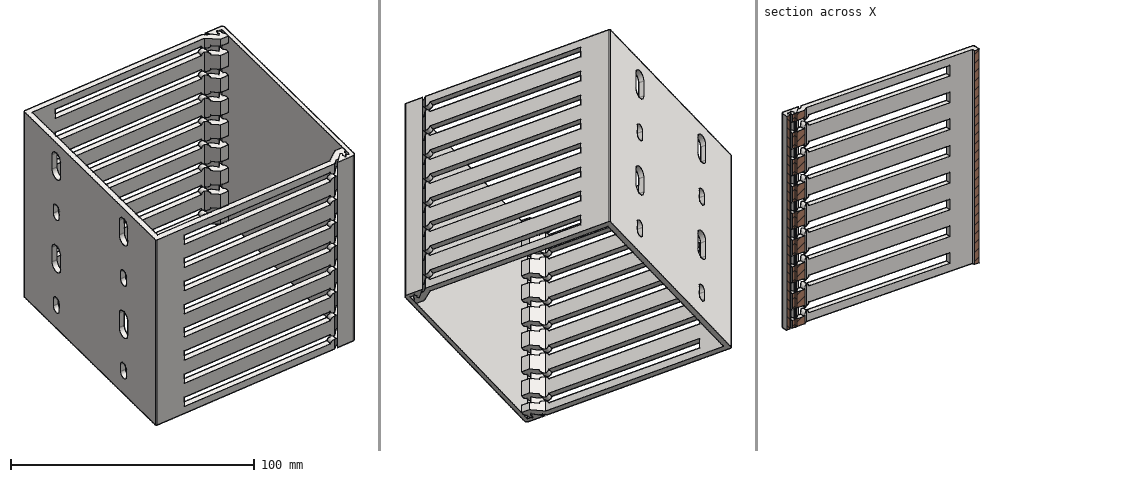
import cadquery as cq

WIDTH = 98.5
DEPTH = 98.4
LENGTH = 100.0

half_width = WIDTH / 2
half_depth = DEPTH / 2
left_x = -half_width
cover_top_y = half_depth
base_bottom_y = -half_depth

SIDE_WALL = 2.6
FLOOR_WALL = 2.5
BASE_CORNER_CHAMFER = 0.4

COVER_WALL = 1.9
COVER_CORNER_RADIUS = 1.3
LIP_DEPTH = 9.0

HOOK_WIDTH = 6.8
HOOK_STRAIGHT_DEPTH = 5.7
HOOK_DEPTH = 11.0
SHOULDER_DEPTH = 10.3
BARB_TIP = 4.2
BARB_CREST = (3.5, 4.2)
BARB_VALLEY = (2.8, 4.6)
NOTCH_INSET = 1.4
NOTCH_LOW_DEPTH = 4.2
NOTCH_HIGH_DEPTH = 3.9
NOTCH_MOUTH_DEPTH = 3.7
HOOK_TOP_LEDGE = ((2.9, 2.8), (4.0, 2.8))
HOOK_TOP_START = 4.9
CLEARANCE_CORNER = (1.4, 8.8)
CONTACT_START = 1.8

SLOT_COUNT = 8
SLOT_HEIGHT = 4.9
SLOT_FLOOR_DISTANCE = 14.0
NECK_HEIGHT = 2.0
NECK_DEPTH = 10.6
NECK_LENGTH = 3.6
slot_pitch = LENGTH / SLOT_COUNT

HOLE_COLUMN_SPACING = 50.0
HOLE_ROW_SPACING = 50.0
LARGE_HOLE_LENGTH = 14.0
LARGE_HOLE_WIDTH = 6.2
SMALL_HOLE_LENGTH = 8.0
SMALL_HOLE_WIDTH = 4.2
LARGE_ROW_CENTRE_Z = 12.5
SMALL_ROW_CENTRE_Z = -12.5


def corner_point(inset, depth):
    """Point at a distance inside the left face and a depth below the cover top."""
    return (left_x + inset, cover_top_y - depth)


def symmetric_extrusion(left_points):
    """Mirror a left half outline about the YZ plane, close it and extrude it along Z."""
    right_points = [(-x, y) for x, y in reversed(left_points)]
    outline = cq.Workplane("XY").polyline(left_points + right_points).close()
    return outline.extrude(LENGTH / 2, both=True)


latch_points = [
    corner_point(BARB_TIP, LIP_DEPTH - BARB_TIP),
    corner_point(*BARB_CREST),
    corner_point(*BARB_VALLEY),
    corner_point(NOTCH_INSET, NOTCH_LOW_DEPTH),
    corner_point(NOTCH_INSET, NOTCH_HIGH_DEPTH),
    corner_point(COVER_WALL, NOTCH_MOUTH_DEPTH),
]


def make_cover():
    left_points = [
        corner_point(0, 0),
        corner_point(0, LIP_DEPTH),
        *latch_points,
        corner_point(COVER_WALL, COVER_WALL),
    ]
    cover = symmetric_extrusion(left_points)
    outer_corners = cq.selectors.BoxSelector(
        (-WIDTH, cover_top_y - COVER_WALL / 2, -LENGTH),
        (WIDTH, cover_top_y + COVER_WALL / 2, LENGTH),
    )
    return cover.edges("|Z").edges(outer_corners).fillet(COVER_CORNER_RADIUS)


def make_channel_walls():
    left_points = [
        (left_x + BASE_CORNER_CHAMFER, base_bottom_y),
        (left_x, base_bottom_y + BASE_CORNER_CHAMFER),
        corner_point(0, SHOULDER_DEPTH),
        corner_point(*CLEARANCE_CORNER),
        corner_point(CONTACT_START, LIP_DEPTH - CONTACT_START),
        *latch_points,
        *[corner_point(*point) for point in HOOK_TOP_LEDGE],
        corner_point(HOOK_TOP_START, COVER_WALL),
        corner_point(HOOK_WIDTH, COVER_WALL),
        corner_point(HOOK_WIDTH, HOOK_STRAIGHT_DEPTH),
        corner_point(SIDE_WALL, HOOK_DEPTH),
        (left_x + SIDE_WALL, base_bottom_y + FLOOR_WALL),
    ]
    return symmetric_extrusion(left_points)


def wiring_slot(centre_z):
    """Slot through both side walls, open at the top, with a rounded neck below the hook."""
    slot_end_y = base_bottom_y + SLOT_FLOOR_DISTANCE
    neck_y = cover_top_y - NECK_DEPTH
    neck_start_y = neck_y - NECK_LENGTH / 2
    neck_end_y = neck_y + NECK_LENGTH / 2
    half_height = SLOT_HEIGHT / 2
    half_neck = NECK_HEIGHT / 2
    outline = (
        cq.Workplane("YZ")
        .moveTo(slot_end_y, half_height)
        .lineTo(neck_start_y, half_height)
        .threePointArc((neck_y, half_neck), (neck_end_y, half_height))
        .lineTo(cover_top_y, half_height)
        .lineTo(cover_top_y, -half_height)
        .lineTo(neck_end_y, -half_height)
        .threePointArc((neck_y, -half_neck), (neck_start_y, -half_height))
        .lineTo(slot_end_y, -half_height)
        .close()
    )
    return outline.extrude(half_width, both=True).translate((0, 0, centre_z))


def mounting_holes(row_centre_z, hole_length, hole_width):
    """Two rows and two columns of holes elongated along Z, through the floor."""
    return (
        cq.Workplane("XZ", origin=(0, base_bottom_y, row_centre_z))
        .rarray(HOLE_COLUMN_SPACING, HOLE_ROW_SPACING, 2, 2)
        .slot2D(hole_length, hole_width, 90)
        .extrude(-FLOOR_WALL)
    )


def make_channel():
    channel = make_channel_walls()
    for index in range(SLOT_COUNT):
        centre_z = (index - (SLOT_COUNT - 1) / 2) * slot_pitch
        channel = channel.cut(wiring_slot(centre_z))
    channel = channel.cut(mounting_holes(LARGE_ROW_CENTRE_Z, LARGE_HOLE_LENGTH, LARGE_HOLE_WIDTH))
    return channel.cut(mounting_holes(SMALL_ROW_CENTRE_Z, SMALL_HOLE_LENGTH, SMALL_HOLE_WIDTH))


cover = make_cover()
channel = make_channel()

result = cq.Compound.makeCompound([channel.val(), cover.val()])